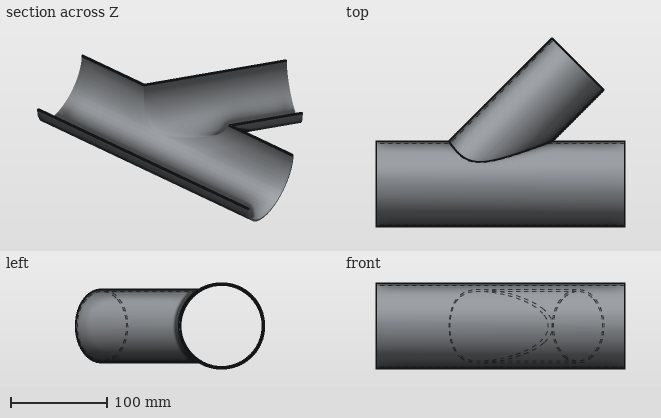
import cadquery as cq
import math

wall = 2.0

run_diameter = 88.9
run_length = 258.0
run_start_to_crossing = 84.8

branch_diameter = 76.1
branch_angle = 45.0
overall_width = 195.74

branch_tilt = math.radians(branch_angle)
branch_tip_y = overall_width - run_diameter / 2
branch_end_y = branch_tip_y - branch_diameter / 2 * math.cos(branch_tilt)
branch_length = branch_end_y / math.sin(branch_tilt)


def run_cylinder(diameter):
    """Cylinder over the full length of the run."""
    start_plane = cq.Plane(origin=(-run_start_to_crossing, 0, 0), xDir=(0, 1, 0), normal=(1, 0, 0))
    return cq.Workplane(start_plane).circle(diameter / 2).extrude(run_length)


def branch_cylinder(diameter):
    """Cylinder along the branch axis, from the axis crossing to the branch end."""
    direction = (math.cos(branch_tilt), math.sin(branch_tilt), 0)
    crossing_plane = cq.Plane(origin=(0, 0, 0), xDir=(0, 0, 1), normal=direction)
    return cq.Workplane(crossing_plane).circle(diameter / 2).extrude(branch_length)


outside = run_cylinder(run_diameter).union(branch_cylinder(branch_diameter))
run_bore = run_cylinder(run_diameter - 2 * wall)
branch_bore = branch_cylinder(branch_diameter - 2 * wall)

result = outside.cut(run_bore).cut(branch_bore)